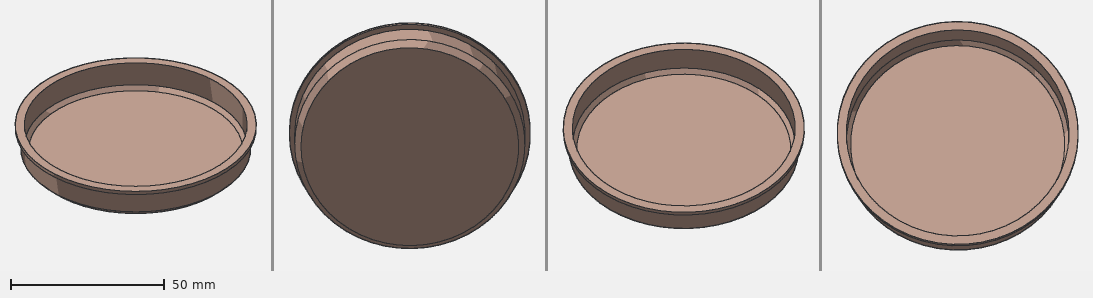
import cadquery as cq

flange_diameter = 78.5
total_height = 11.2
flange_thickness = 1.25

cup_diameter = 75.0
cavity_diameter = 72.5
floor_thickness = 1.25
outer_chamfer = 2.05
inner_chamfer = 1.4


def disc(diameter, height, base_z):
    """Solid disc on the Z axis with its lower face at base_z."""
    return cq.Workplane("XY").workplane(offset=base_z).circle(diameter / 2).extrude(height)


cup = disc(cup_diameter, total_height, 0).faces("<Z").chamfer(outer_chamfer)
flange = disc(flange_diameter, flange_thickness, total_height - flange_thickness)

cavity_depth = total_height - floor_thickness
cavity = disc(cavity_diameter, cavity_depth, floor_thickness).faces("<Z").chamfer(inner_chamfer)

result = cup.union(flange).cut(cavity)